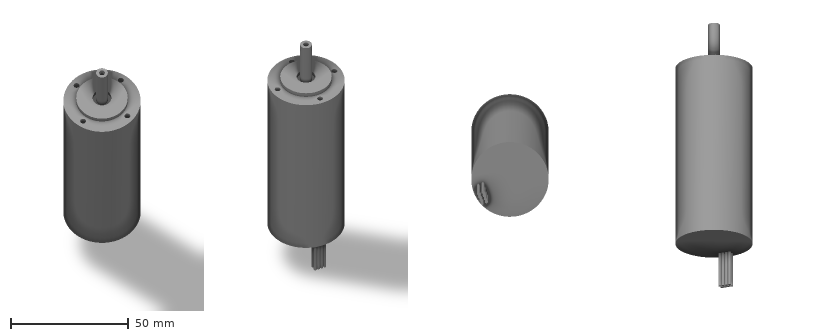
import cadquery as cq

body_diameter = 33.0
body_length = 80.0

boss_diameter = 22.0
boss_height = 2.0
recess_diameter = 8.0
recess_depth = 1.75

shaft_diameter = 5.0
shaft_length = 20.0
shaft_hole_diameter = 2.5
shaft_hole_depth = 10.0

mount_hole_diameter = 2.5
mount_hole_depth = 5.0
mount_circle_diameter = 27.0
mount_hole_count = 4

wire_diameter = 1.3
wire_length = 15.0
wire_columns = 4
wire_rows = 2
wire_column_pitch = 1.5
wire_row_pitch = 2.0
wire_grid_y = 12.45

boss_top = body_length + boss_height
shaft_top = body_length + shaft_length


def cylinder(diameter, bottom, top):
    """Cylinder on the Z axis between two heights."""
    return cq.Workplane("XY").workplane(offset=bottom).circle(diameter / 2).extrude(top - bottom)


def make_housing():
    """Body and boss, with the recess sunk from the top of the boss."""
    housing = cylinder(body_diameter, 0, body_length)
    housing = housing.union(cylinder(boss_diameter, body_length, boss_top))
    return housing.cut(cylinder(recess_diameter, boss_top - recess_depth, boss_top))


def make_shaft():
    """Shaft standing on the recess floor, with a blind hole in its end."""
    shaft = cylinder(shaft_diameter, boss_top - recess_depth, shaft_top)
    return shaft.cut(cylinder(shaft_hole_diameter, shaft_top - shaft_hole_depth, shaft_top))


def make_mount_holes():
    """Blind holes spaced evenly on the mounting circle."""
    return (
        cq.Workplane("XY")
        .workplane(offset=body_length)
        .polarArray(mount_circle_diameter / 2, 0, 360, mount_hole_count)
        .circle(mount_hole_diameter / 2)
        .extrude(-mount_hole_depth)
    )


def make_wires():
    """Grid of straight wires below the body."""
    return (
        cq.Workplane("XY")
        .center(0, wire_grid_y)
        .rarray(wire_column_pitch, wire_row_pitch, wire_columns, wire_rows)
        .circle(wire_diameter / 2)
        .extrude(-wire_length)
    )


result = make_housing().union(make_shaft()).cut(make_mount_holes()).union(make_wires())